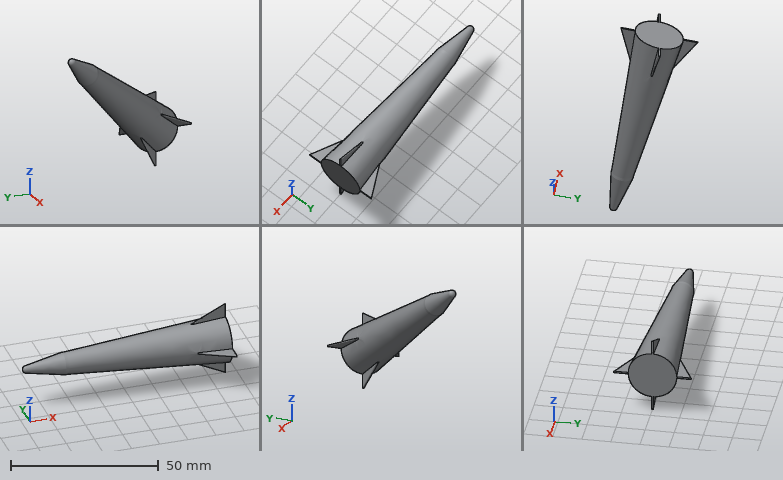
import cadquery as cq

length = 72.0
fin_span = 26.7

tip_length = 1.0
tip_radius = 1.3
nose_length = 14.4
collar_length = 1.1
collar_radius = 3.9

base_radius = 8.35

fin_count = 4
fin_start = 59.9
fin_thickness = 0.65
edge_fillet = 0.3

body_start = nose_length + collar_length


def body_radius_at(x):
    """Radius of the tapered body at a distance x from the nose tip."""
    taper = (base_radius - collar_radius) / (length - body_start)
    return collar_radius + taper * (x - body_start)


def make_body():
    cap_radius = (tip_radius**2 + tip_length**2) / (2 * tip_length)
    mid_x = tip_length / 2
    mid_radius = (cap_radius**2 - (cap_radius - mid_x) ** 2) ** 0.5
    return (
        cq.Workplane("XY")
        .moveTo(0, 0)
        .threePointArc((mid_x, mid_radius), (tip_length, tip_radius))
        .lineTo(nose_length, collar_radius)
        .lineTo(body_start, collar_radius)
        .lineTo(length, base_radius)
        .lineTo(length, 0)
        .close()
        .revolve(360, (0, 0, 0), (1, 0, 0))
    )


def make_fin():
    """Triangular plate from the axis outward, with both leading edges rounded."""
    tip_height = fin_span / 2
    root_height = body_radius_at(fin_start)
    edge_slope = (tip_height - root_height) / (length - fin_start)
    axis_x = length - tip_height / edge_slope
    return (
        cq.Workplane("XZ")
        .polyline([(axis_x, 0), (length, 0), (length, tip_height)])
        .close()
        .extrude(fin_thickness / 2, both=True)
        .edges(cq.selectors.ParallelDirSelector(cq.Vector(1, 0, edge_slope)))
        .fillet(edge_fillet)
    )


result = make_body()
fin = make_fin()
for index in range(fin_count):
    result = result.union(fin.rotate((0, 0, 0), (1, 0, 0), index * 360 / fin_count))